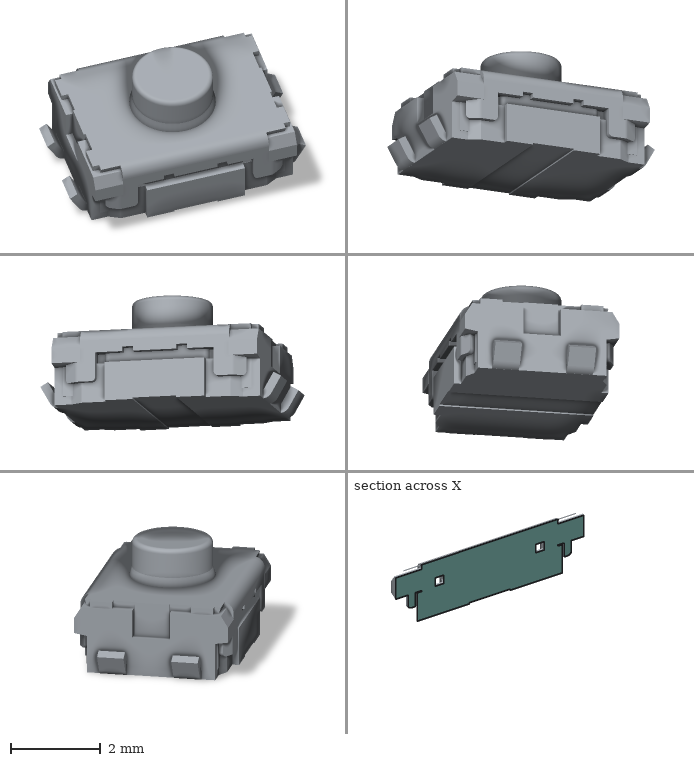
import cadquery as cq
import math


total_length = 5.5
total_height = 2.5

base_half_width = 1.75
base_half_length = 2.35
base_top = 1.5
waist_half_width = 1.595
corner_start_y = 1.7
chamfer_width = 0.16
chamfer_height = 0.26
overhang_edge_z = 0.895
overhang_root_z = 0.845
foot_half_width = 1.46
foot_end_y = 1.96
plate_half_length = 1.14
ledge_z = 0.87
groove_half_width = 0.5
groove_depth = 0.035

cover_half_width = 1.74
cover_top = 1.645
cover_edge_z = 1.1
cover_radius = 0.265
cover_half_length = 2.15
cover_sheet = cover_half_width - waist_half_width
tab_inner_x = 0.895
tab_outer_x = 1.395
tab_end_y = 2.3
corner_cut_top_x = 1.545
corner_cut_root_x = 1.5
center_tab_half_width = 0.39
center_tab_end_y = 2.195
end_pocket_half_width = 0.43

leg_start_y = 1.355
leg_bend_y = 1.75
leg_end_y = 2.06
leg_bottom = 0.45
leg_corner_radius = 0.1
bend_angle = math.radians(30)
lug_half_width = 1.475
lug_end_y = 2.155
lug_bottom = 0.19

window_floor_x = 1.45
inner_block_half_width = 1.56
inner_block_half_length = 1.195
inner_block_radius = 0.11
slot_inner_y = 0.495
slot_outer_y = 0.74
slot_top = 1.205

plunger_radius = 1.8 / 2
plunger_fillet = 0.105
collar_radius = 0.96
collar_top = 1.85

lead_center_x = 0.84
lead_width = 0.6
lead_thickness = 0.2
lead_bend_y = 2.325
lead_inner_radius = 0.04
lead_angle = math.radians(60)


def block(x0, x1, y0, y1, z0, z1):
    """Box between two opposite corners."""
    return cq.Workplane("XY").box(x1 - x0, y1 - y0, z1 - z0, centered=False).translate((x0, y0, z0))


def centered_block(half_x, half_y, z0, z1):
    """Box centred on the Z axis."""
    return block(-half_x, half_x, -half_y, half_y, z0, z1)


def prism_along_y(points, y0, y1):
    """Polygon of (x, z) points extruded from y0 to y1."""
    return cq.Workplane("XZ", origin=(0, y0, 0)).polyline(points).close().extrude(y0 - y1)


def both_sides(part):
    return part.union(part.mirror("YZ"))


def both_ends(part):
    return part.union(part.mirror("XZ"))


def four_corners(part):
    return both_ends(both_sides(part))


def make_base():
    base = centered_block(base_half_width, base_half_length, 0, base_top)

    chamfer = prism_along_y(
        [
            (base_half_width - chamfer_width, base_top),
            (base_half_width, base_top),
            (base_half_width, base_top - chamfer_height),
        ],
        -base_half_length,
        base_half_length,
    )
    base = base.cut(both_sides(chamfer))

    waist = block(waist_half_width, base_half_width, -corner_start_y, corner_start_y, 0, base_top)
    base = base.cut(both_sides(waist))

    undercut = prism_along_y(
        [
            (foot_half_width, 0),
            (base_half_width, 0),
            (base_half_width, overhang_edge_z),
            (foot_half_width, overhang_root_z),
        ],
        corner_start_y,
        base_half_length,
    )
    taper = (
        cq.Workplane("XY")
        .polyline(
            [
                (foot_half_width, corner_start_y),
                (waist_half_width, corner_start_y),
                (foot_half_width, foot_end_y),
            ]
        )
        .close()
        .extrude(overhang_root_z)
    )
    lug = block(foot_half_width, lug_half_width, corner_start_y, lug_end_y, lug_bottom, overhang_edge_z)
    base = base.cut(four_corners(undercut.cut(taper).cut(lug)))

    end_pocket = block(
        -end_pocket_half_width, end_pocket_half_width,
        cover_half_length, base_half_length,
        ledge_z, base_top,
    )
    base = base.cut(both_ends(end_pocket))

    plate = centered_block(base_half_width, plate_half_length, 0, ledge_z)
    groove = centered_block(base_half_width, groove_half_width, 0, groove_depth)
    return base.union(plate).cut(groove)


def make_cover():
    cover = centered_block(cover_half_width, cover_half_length, cover_edge_z, cover_top)
    cover = cover.edges("|Y and >Z").fillet(cover_radius)

    corner_cut = prism_along_y(
        [
            (corner_cut_top_x, cover_top),
            (cover_half_width, cover_top),
            (cover_half_width, cover_edge_z),
            (corner_cut_root_x, cover_edge_z),
            (corner_cut_root_x, base_top),
        ],
        corner_start_y,
        cover_half_length,
    )
    cover = cover.cut(four_corners(corner_cut))

    end_tab = block(tab_inner_x, tab_outer_x, 0, tab_end_y, base_top, cover_top)
    center_tab = centered_block(center_tab_half_width, center_tab_end_y, ledge_z, cover_top)
    return cover.union(four_corners(end_tab)).union(center_tab)


def make_leg():
    """One cover leg, with its end bent inwards beneath a corner block."""
    along = (-math.sin(bend_angle), math.cos(bend_angle))

    def on_bend(angle):
        """(x, y) point of the outer bend, turned by an angle from its straight start."""
        return (
            waist_half_width + cover_sheet * math.cos(angle),
            leg_bend_y + cover_sheet * math.sin(angle),
        )

    bend_end = on_bend(bend_angle)
    reach = (leg_end_y - bend_end[1]) / along[1]
    tip = (reach * along[0], reach * along[1])
    leg = (
        cq.Workplane("XY", origin=(0, 0, leg_bottom))
        .moveTo(waist_half_width, leg_start_y)
        .lineTo(cover_half_width, leg_start_y)
        .lineTo(cover_half_width, leg_bend_y)
        .threePointArc(on_bend(bend_angle / 2), bend_end)
        .line(*tip)
        .lineTo(waist_half_width + tip[0], leg_bend_y + tip[1])
        .lineTo(waist_half_width, leg_bend_y)
        .close()
        .extrude(cover_edge_z - leg_bottom)
    )
    leg = leg.faces("<Y").edges("<Z").fillet(leg_corner_radius)
    tip_face = leg.faces(cq.selectors.DirectionMinMaxSelector(cq.Vector(*along, 0), True))
    return tip_face.edges("<Z").fillet(leg_corner_radius)


def make_window():
    """Space cut into one long side between the cover edge and the ledge."""
    window = block(window_floor_x, cover_half_width, -leg_start_y, leg_start_y, ledge_z, cover_edge_z)
    inner_block = centered_block(inner_block_half_width, inner_block_half_length, ledge_z, cover_edge_z)
    window = window.cut(inner_block.edges("|Z").fillet(inner_block_radius))
    slot = block(
        inner_block_half_width, cover_half_width,
        slot_inner_y, slot_outer_y,
        cover_edge_z, slot_top,
    )
    return window.union(both_ends(slot))


def make_plunger():
    profile = (
        cq.Workplane("XZ")
        .moveTo(0, base_top)
        .lineTo(collar_radius, base_top)
        .lineTo(collar_radius, cover_top)
        .lineTo(plunger_radius, collar_top)
        .lineTo(plunger_radius, total_height)
        .lineTo(0, total_height)
        .close()
    )
    plunger = profile.revolve(360, (0, 0, 0), (0, 1, 0))
    return plunger.faces(">Z").edges().fillet(plunger_fillet)


def make_lead():
    """One lead, leaving the base flat and bending upwards at the end face."""
    outer_radius = lead_inner_radius + lead_thickness

    def on_bend(radius, angle):
        """(y, z) point of the bend, turned by an angle from its flat start."""
        return (lead_bend_y + radius * math.sin(angle), outer_radius - radius * math.cos(angle))

    outer_end = on_bend(outer_radius, lead_angle)
    inner_end = on_bend(lead_inner_radius, lead_angle)
    run = total_length / 2 - outer_end[0]
    rise = run * math.tan(lead_angle)
    root_y = lead_bend_y - lead_thickness
    return (
        cq.Workplane("YZ", origin=(lead_center_x - lead_width / 2, 0, 0))
        .moveTo(root_y, 0)
        .lineTo(lead_bend_y, 0)
        .threePointArc(on_bend(outer_radius, lead_angle / 2), outer_end)
        .line(run, rise)
        .lineTo(inner_end[0] + run, inner_end[1] + rise)
        .lineTo(*inner_end)
        .threePointArc(on_bend(lead_inner_radius, lead_angle / 2), (lead_bend_y, lead_thickness))
        .lineTo(root_y, lead_thickness)
        .close()
        .extrude(lead_width)
    )


housing = make_base().union(make_cover())
housing = housing.cut(both_sides(make_window()))
result = (
    housing.union(four_corners(make_leg()))
    .union(make_plunger())
    .union(four_corners(make_lead()))
)